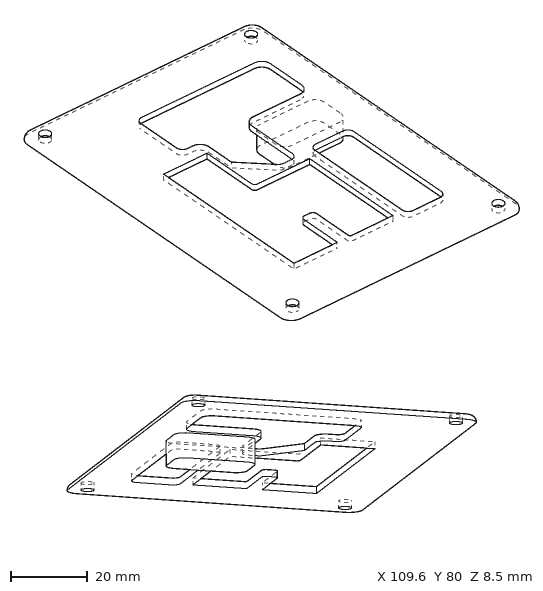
import cadquery as cq

length = 109.6
width = 80.0
total_height = 8.5
plate_thickness = 1.9
corner_radius = 3.7
rim_round = 1.8

screw_diameter = 3.4
screw_spacing_x = 99.9
screw_spacing_y = 69.9

slot_left, slot_right = -39.5, -21.0
slot_bottom, slot_top = -12.9, 30.3
branch_right = 0.2
branch_bottom, branch_top = -6.1, 8.4
branch_taper = 9.2
large_radius = 3.0
small_radius = 2.0

window_left, window_right = -1.1, 38.2
window_bottom, window_top = 13.9, 27.1

stepped_left, stepped_right = -16.1, 36.5
stepped_bottom, stepped_top = -23.1, 10.4
step_x = 3.0
step_y = -8.4
tongue_tip = 21.8
tongue_width = 4.3
tongue_top = step_y + tongue_width
tongue_radius = 1.2
step_radius = 1.0
tongue_root_radius = 0.7

block_length_x = 12.6
block_length_y = 21.9
block_gap_x = 1.8
block_gap_y = 1.1
block_radius = 3.0
block_height = total_height - plate_thickness


def round_corners(body, points, radius):
    """Round the vertical edges of body that stand at the given XY points."""
    reach = 0.1
    for x, y in points:
        corner = cq.selectors.BoxSelector(
            (x - reach, y - reach, -plate_thickness),
            (x + reach, y + reach, 2 * plate_thickness),
        )
        body = body.edges("|Z").edges(corner).fillet(radius)
    return body


def make_plate():
    plate = cq.Workplane("XY").rect(length, width).extrude(plate_thickness)
    plate = plate.edges("|Z").fillet(corner_radius)
    plate = plate.faces(">Z").edges().fillet(rim_round)
    screws = cq.Workplane("XY").rect(screw_spacing_x, screw_spacing_y, forConstruction=True).vertices()
    return plate.cut(screws.circle(screw_diameter / 2).extrude(plate_thickness))


def make_branched_opening():
    slot_bottom_corners = [(slot_left, slot_bottom), (slot_right, slot_bottom)]
    slot_top_corners = [(slot_right, slot_top), (slot_left, slot_top)]
    branch_roots = [(slot_right, branch_bottom), (slot_right, branch_top)]
    taper_start = (branch_right - branch_taper, branch_bottom)
    branch_end = [(branch_right, branch_bottom + branch_taper), (branch_right, branch_top)]
    outline = [
        *slot_bottom_corners,
        branch_roots[0],
        taper_start,
        *branch_end,
        branch_roots[1],
        *slot_top_corners,
    ]
    opening = cq.Workplane("XY").polyline(outline).close().extrude(plate_thickness)
    opening = round_corners(opening, slot_top_corners + branch_roots, large_radius)
    return round_corners(opening, slot_bottom_corners + branch_end, small_radius)


def make_window():
    window = cq.Workplane("XY").rect(window_right - window_left, window_top - window_bottom)
    window = window.extrude(plate_thickness).edges("|Z").fillet(small_radius)
    return window.translate(((window_left + window_right) / 2, (window_bottom + window_top) / 2, 0))


def make_stepped_opening():
    tongue_tip_corners = [(tongue_tip, step_y), (tongue_tip, tongue_top)]
    tongue_root = (stepped_right, tongue_top)
    step_corner = (step_x, step_y)
    outline = [
        (stepped_left, stepped_bottom),
        (stepped_right, stepped_bottom),
        (stepped_right, step_y),
        *tongue_tip_corners,
        tongue_root,
        (stepped_right, stepped_top),
        (step_x, stepped_top),
        step_corner,
        (stepped_left, step_y),
    ]
    opening = cq.Workplane("XY").polyline(outline).close().extrude(plate_thickness)
    opening = round_corners(opening, tongue_tip_corners, tongue_radius)
    opening = round_corners(opening, [step_corner], step_radius)
    return round_corners(opening, [tongue_root], tongue_root_radius)


def make_block():
    center_x = slot_right + block_gap_x + block_length_x / 2
    center_y = branch_top + block_gap_y + block_length_y / 2
    block = cq.Workplane("XY").rect(block_length_x, block_length_y).extrude(-block_height)
    return block.edges("|Z").fillet(block_radius).translate((center_x, center_y, 0))


result = (
    make_plate()
    .cut(make_branched_opening())
    .cut(make_window())
    .cut(make_stepped_opening())
    .union(make_block())
)